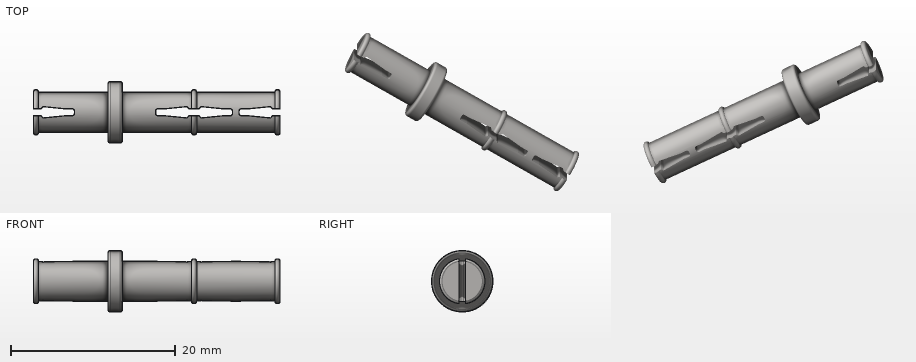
import cadquery as cq

length = 30.1
shaft_diameter = 4.95
shaft_radius = shaft_diameter / 2

collar_diameter = 7.5
collar_start = 9.1
collar_width = 1.78
collar_fillet = 0.3

ring_width = 0.65
ring_height = 0.3
left_ring = ring_width / 2
middle_ring = 19.6
right_ring = length - ring_width / 2

slot_half_width = 0.405
slot_wide_half_width = 0.677
slot_neck = 0.6
slot_widest = 0.85
slot_taper_end = 3.6
slot_reach = 4.67
slot_end_fillet = 0.25
slot_depth = 2 * (shaft_diameter + ring_height)


def cylinder_x(start, width, diameter):
    """Cylinder on the X axis."""
    return cq.Workplane("YZ", origin=(start, 0, 0)).circle(diameter / 2).extrude(width)


def snap_ring(center):
    """Solid disc with a rounded rim, revolved about the X axis."""
    start = center - ring_width / 2
    end = center + ring_width / 2
    return (
        cq.Workplane("XY")
        .moveTo(start, 0)
        .lineTo(start, shaft_radius)
        .threePointArc((center, shaft_radius + ring_height), (end, shaft_radius))
        .lineTo(end, 0)
        .close()
        .revolve(360, (0, 0, 0), (1, 0, 0))
    )


def spring_slot(center, direction):
    """Slot from just behind the ring centre, widening past the ring and tapering to a rounded end."""
    upper_edge = [
        (-ring_width, slot_half_width),
        (slot_neck, slot_half_width),
        (slot_widest, slot_wide_half_width),
        (slot_taper_end, slot_half_width),
        (slot_reach, slot_half_width),
    ]
    lower_edge = [(x, -y) for x, y in reversed(upper_edge)]
    outline = [(center + direction * x, y) for x, y in upper_edge + lower_edge]
    slot = cq.Workplane("XY").polyline(outline).close().extrude(slot_depth / 2, both=True)
    rounded_end = ">X" if direction > 0 else "<X"
    return slot.faces(rounded_end).edges("|Z").fillet(slot_end_fillet)


collar = cylinder_x(collar_start, collar_width, collar_diameter).edges().fillet(collar_fillet)
result = cylinder_x(0, length, shaft_diameter).union(collar)

for ring_center in (left_ring, middle_ring, right_ring):
    result = result.union(snap_ring(ring_center))

for ring_center, direction in ((left_ring, 1), (middle_ring, -1), (middle_ring, 1), (right_ring, -1)):
    result = result.cut(spring_slot(ring_center, direction))